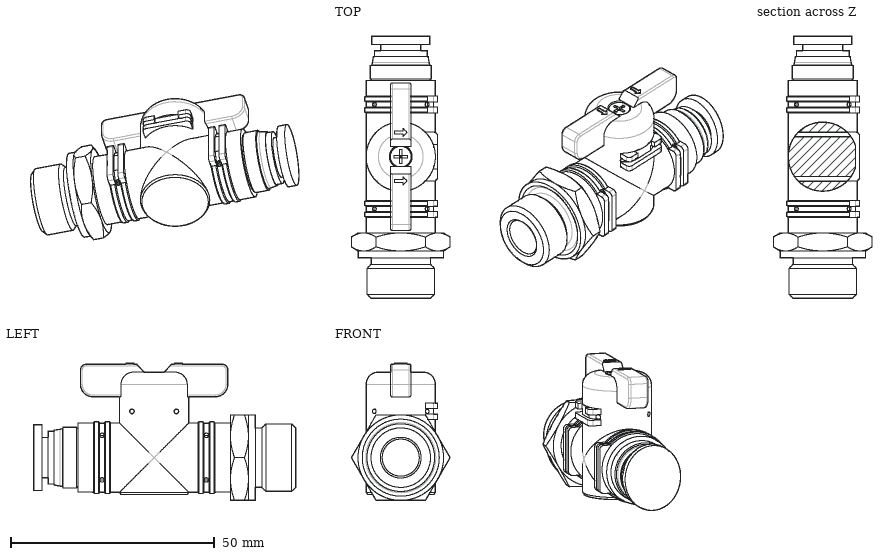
import cadquery as cq
import math


tee_radius = 8.5
arm_end = 18.7
stem_bottom = -9.1
stem_bottom_chamfer = 0.6
stem_bottom_inset = 0.35
stem_top = 21.0
dome_fillet = 3.0

ring_center = 12.8
ring_pitch = 2.7
ring_base_width = 1.5
ring_crest_width = 1.0
ring_radius = 8.85

tab_reach = 9.07
tab_root = 5.0
tab_half_length = 6.0
tab_corner_radius = 1.0
tab_gap_face = tab_reach - tab_corner_radius
tab_slot_half_width = 3.0
stem_tab_center = 11.35
stem_tab_thickness = 1.4

hole_diameter = 1.05
hole_offset = 5.45
hole_side_offset = math.sqrt(tee_radius**2 - hole_offset**2)

wing_tip = 18.1
wing_width = 5.0
wing_bottom = 14.9
wing_top = 22.95
wing_root_bottom = 2.45
wing_root_top = 4.3
wing_upper_radius = 1.5
wing_lower_radius = 3.1
wing_edge_radius = 0.45

arrow_height = 0.25
arrow_center = 5.95
arrow_half_length = 1.55
arrow_head_length = 1.0
arrow_head_half_width = 1.0
arrow_shaft_half_width = 0.4

screw_radius = 2.55
screw_rim_radius = 2.8
screw_depth = screw_rim_radius - screw_radius
cross_length = 3.4
cross_width = 0.6
cross_depth = 1.2

hex_across_flats = 21.0
hex_thickness = 4.45
hex_corner_drop = 1.0
flange_radius = 10.5
hex_end = -arm_end - hex_thickness
flange_end = -24.85
neck_radius = 7.3
seal_groove_outer_radius = 9.45
seal_groove_inner_radius = 8.6
thread_radius = 8.3
thread_chamfer = 1.0
thread_start = -26.4
thread_end = -34.75
bore_radius = 4.55
bore_chamfer = 0.45
bore_depth = 11.0
drill_point_angle = 118.0

cartridge_radius = 7.5
cartridge_chamfer = 0.4
shoulder_end = 22.3
cone_large_radius = 7.15
cone_start = 22.45
cone_mid_radius = 7.0
cone_mid = 23.05
cone_small_radius = 6.75
cone_end = 24.55
nose_radius = 6.5
nose_end = 26.0
button_neck_radius = 4.95
button_start = 27.5
button_end = 29.55
button_half_width = 7.15
button_half_height = 8.1


def revolve_about_y(points):
    """Revolve a closed (radius, y) outline about the Y axis."""
    return cq.Workplane("XY").polyline(points).close().revolve(360, (0, 0, 0), (0, 1, 0))


def cylinder(center, direction, radius, length):
    return cq.Workplane(cq.Solid.makeCylinder(radius, length, cq.Vector(*center), cq.Vector(*direction)))


def make_stem():
    shoulder = stem_bottom + stem_bottom_chamfer
    tip_radius = tee_radius - stem_bottom_inset
    return (
        cq.Workplane("XZ")
        .moveTo(0, stem_bottom)
        .lineTo(tip_radius, stem_bottom)
        .lineTo(tee_radius, shoulder)
        .lineTo(tee_radius, stem_top - dome_fillet)
        .radiusArc((tee_radius - dome_fillet, stem_top), -dome_fillet)
        .lineTo(0, stem_top)
        .close()
        .revolve(360, (0, 0, 0), (0, 1, 0))
    )


def make_ring(center_y):
    base = ring_base_width / 2
    crest = ring_crest_width / 2
    return revolve_about_y([
        (0, center_y - base),
        (tee_radius, center_y - base),
        (ring_radius, center_y - crest),
        (ring_radius, center_y + crest),
        (tee_radius, center_y + base),
        (0, center_y + base),
    ])


def make_tab(center_z, thickness):
    """A tab in a plane of constant Z, long in Y and rounded at its outer corners."""
    return (
        cq.Workplane("XY", origin=(0, 0, center_z - thickness / 2))
        .moveTo(tab_root, -tab_half_length)
        .lineTo(tab_gap_face, -tab_half_length)
        .radiusArc((tab_reach, tab_corner_radius - tab_half_length), -tab_corner_radius)
        .lineTo(tab_reach, tab_half_length - tab_corner_radius)
        .radiusArc((tab_gap_face, tab_half_length), -tab_corner_radius)
        .lineTo(tab_root, tab_half_length)
        .close()
        .extrude(thickness)
    )


def make_flat_cutter(center_z, width):
    """A cutter that leaves a flat facing +X."""
    return cq.Workplane("XY", origin=(tab_gap_face, 0, center_z)).box(
        tab_reach, 2 * tab_half_length, width, centered=(False, True, True)
    )


def add_tab_pair(tee, center, thickness, turn):
    """Add two tabs with a flat between them; turn is the rotation about X that takes +Z to their axis."""
    for side in (-1, 1):
        tab = make_tab(center + side * ring_pitch / 2, thickness)
        tee = tee.union(tab.rotate((0, 0, 0), (1, 0, 0), turn))
    gap = make_flat_cutter(center, ring_pitch - thickness)
    return tee.cut(gap.rotate((0, 0, 0), (1, 0, 0), turn))


def slot_upper_stem_tab(tee):
    """Open the middle of the upper stem tab down to the flat."""
    slot = cq.Workplane("XY", origin=(tab_gap_face, 0, stem_tab_center + ring_pitch / 2)).box(
        tab_reach, 2 * tab_slot_half_width, stem_tab_thickness, centered=(False, True, True)
    )
    return tee.cut(slot)


def cut_stem_holes(tee):
    """Two parallel holes pass through the stem along X."""
    for side in (-1, 1):
        start = (-tab_reach, side * hole_offset, stem_tab_center)
        tee = tee.cut(cylinder(start, (1, 0, 0), hole_diameter / 2, 2 * tab_reach))
    return tee


def cut_arm_holes(tee, center_y):
    """Short crossing holes notch the arm surface at four places, from the side and from above or below."""
    for side_x in (-1, 1):
        for side_z in (-1, 1):
            corner = (side_x * hole_side_offset, center_y, side_z * hole_offset)
            for direction in ((side_x, 0, 0), (0, 0, side_z)):
                tee = tee.cut(cylinder(corner, direction, hole_diameter / 2, tee_radius))
    return tee


def cut_screw_head(tee):
    """Sink the screw head below a bevelled rim and cut its tapered cross recess."""
    head_face = stem_top - screw_depth
    rim = cq.Solid.makeCone(screw_radius, screw_rim_radius, screw_depth, cq.Vector(0, 0, head_face))
    tee = tee.cut(cq.Workplane(rim))
    blade = (
        cq.Workplane("XZ")
        .polyline([(-cross_length / 2, head_face), (cross_length / 2, head_face), (0, head_face - cross_depth)])
        .close()
        .extrude(cross_width / 2, both=True)
    )
    for angle in (0, 90):
        tee = tee.cut(blade.rotate((0, 0, 0), (0, 0, 1), angle))
    return tee


def make_wing():
    """The +Y wing of the handle, with its rim rounded except at the ramp and the root."""
    outline = (
        cq.Workplane("YZ")
        .moveTo(wing_root_bottom, wing_bottom)
        .lineTo(wing_tip - wing_lower_radius, wing_bottom)
        .radiusArc((wing_tip, wing_bottom + wing_lower_radius), -wing_lower_radius)
        .lineTo(wing_tip, wing_top - wing_upper_radius)
        .radiusArc((wing_tip - wing_upper_radius, wing_top), -wing_upper_radius)
        .lineTo(wing_root_top, wing_top)
        .lineTo(wing_root_bottom, stem_top)
        .close()
    )
    wing = outline.extrude(wing_width / 2, both=True)
    rim = cq.selectors.BoxSelector(
        (-wing_width, wing_root_top, 0), (wing_width, 2 * wing_tip, 2 * wing_top)
    )
    return wing.faces("<X or >X").edges(rim).fillet(wing_edge_radius)


def make_arrow(center_y):
    head_start = arrow_half_length - arrow_head_length
    return (
        cq.Workplane("XY", origin=(0, center_y, wing_top))
        .polyline([
            (-arrow_half_length, -arrow_shaft_half_width),
            (head_start, -arrow_shaft_half_width),
            (head_start, -arrow_head_half_width),
            (arrow_half_length, 0),
            (head_start, arrow_head_half_width),
            (head_start, arrow_shaft_half_width),
            (-arrow_half_length, arrow_shaft_half_width),
        ])
        .close()
        .extrude(arrow_height)
    )


def make_tee():
    tee = cylinder((0, -arm_end, 0), (0, 1, 0), tee_radius, 2 * arm_end).union(make_stem())
    for center_y in (-ring_center, ring_center):
        for side in (-1, 1):
            tee = tee.union(make_ring(center_y + side * ring_pitch / 2))
    for turn in (-90, 90):
        tee = add_tab_pair(tee, ring_center, ring_base_width, turn)
    tee = add_tab_pair(tee, stem_tab_center, stem_tab_thickness, 0)
    tee = slot_upper_stem_tab(tee)
    tee = cut_stem_holes(tee)
    for center_y in (-ring_center, ring_center):
        tee = cut_arm_holes(tee, center_y)
    tee = cut_screw_head(tee)
    for turn in (0, 180):
        tee = tee.union(make_wing().rotate((0, 0, 0), (0, 0, 1), turn))
    for center_y in (-arrow_center, arrow_center):
        tee = tee.union(make_arrow(center_y))
    return tee


def make_hex():
    """Hexagon with corners on the X axis, turned down to a cone at both faces."""
    corner_radius = hex_across_flats / math.sqrt(3)
    prism = (
        cq.Workplane("XZ", origin=(0, -arm_end, 0))
        .polygon(6, 2 * corner_radius)
        .extrude(hex_thickness)
    )
    envelope = revolve_about_y([
        (0, -arm_end),
        (flange_radius, -arm_end),
        (corner_radius, -arm_end - hex_corner_drop),
        (corner_radius, hex_end + hex_corner_drop),
        (flange_radius, hex_end),
        (0, hex_end),
    ])
    return prism.intersect(envelope)


def make_thread_stub():
    """Flange, neck and thread with its end chamfers."""
    return revolve_about_y([
        (0, -arm_end),
        (neck_radius, -arm_end),
        (neck_radius, hex_end),
        (flange_radius, hex_end),
        (flange_radius, flange_end),
        (neck_radius, flange_end),
        (neck_radius, thread_start),
        (thread_radius, thread_start - thread_chamfer),
        (thread_radius, thread_end + thread_chamfer),
        (thread_radius - thread_chamfer, thread_end),
        (0, thread_end),
    ])


def make_seal_groove():
    """Ring groove in the flange face: a 45 degree outer wall tangent to a round bottom that meets the neck."""
    diagonal = math.sin(math.radians(45))
    round_radius = (seal_groove_inner_radius - neck_radius) / (1 + diagonal)
    wall_end = flange_end + seal_groove_outer_radius - seal_groove_inner_radius
    round_center = wall_end - round_radius * diagonal
    return (
        cq.Workplane("XY")
        .moveTo(neck_radius, flange_end)
        .lineTo(seal_groove_outer_radius, flange_end)
        .lineTo(seal_groove_inner_radius, wall_end)
        .threePointArc(
            (neck_radius + round_radius, round_center + round_radius),
            (neck_radius, round_center),
        )
        .close()
        .revolve(360, (0, 0, 0), (0, 1, 0))
    )


def make_bore():
    """Blind bore with an entry chamfer and a drill point."""
    bottom = thread_end + bore_depth
    point = bottom + bore_radius / math.tan(math.radians(drill_point_angle / 2))
    return revolve_about_y([
        (0, thread_end),
        (bore_radius + bore_chamfer, thread_end),
        (bore_radius, thread_end + bore_chamfer),
        (bore_radius, bottom),
        (0, point),
    ])


def make_adapter():
    return make_hex().union(make_thread_stub()).cut(make_seal_groove()).cut(make_bore())


def make_cartridge():
    """Stepped sleeve ending in a neck and an oval release button."""
    sleeve = revolve_about_y([
        (0, arm_end),
        (cartridge_radius - cartridge_chamfer, arm_end),
        (cartridge_radius, arm_end + cartridge_chamfer),
        (cartridge_radius, shoulder_end),
        (cone_large_radius, cone_start),
        (cone_mid_radius, cone_mid),
        (cone_small_radius, cone_end),
        (nose_radius, cone_end),
        (nose_radius, nose_end),
        (button_neck_radius, nose_end),
        (button_neck_radius, button_start),
        (0, button_start),
    ])
    button = (
        cq.Workplane("XZ", origin=(0, button_end, 0))
        .ellipse(button_half_width, button_half_height)
        .extrude(button_end - button_start)
    )
    return sleeve.union(button)


tee_body = make_tee().solids()
adapter = make_adapter().solids()
cartridge = make_cartridge().solids()

result = cq.Compound.makeCompound([tee_body.val(), adapter.val(), cartridge.val()])